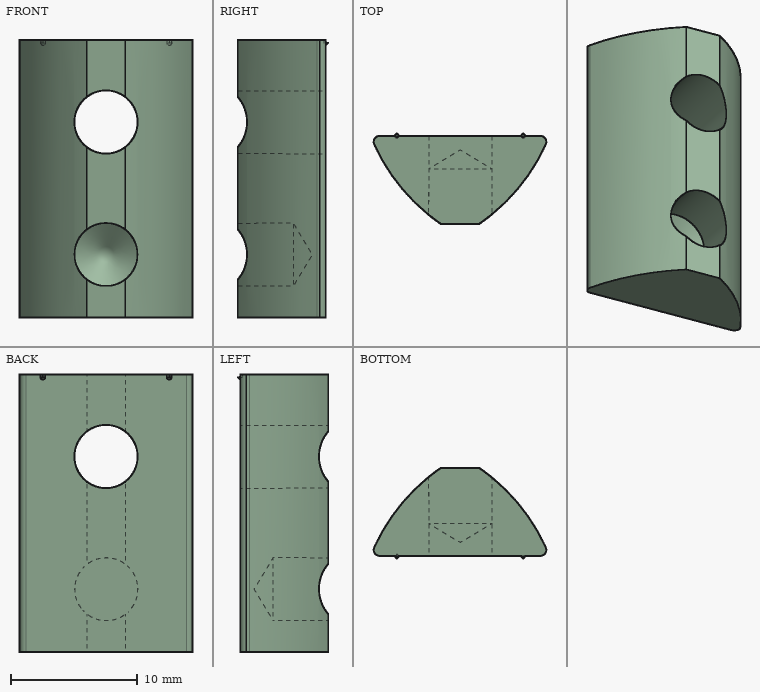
import cadquery as cq
import math

length = 22.0
width = 13.7
depth = 7.0
front_flat_width = 3.01
corner_radius = 0.5
flank_start_depth = 0.73
flank_start_inset = 0.07
flank_mid_x = 4.93
flank_mid_depth = 3.78

hole_diameter = 5.0
through_hole_z = 4.49
blind_hole_z = -6.0
blind_hole_depth = 4.4
drill_tip_angle = 118.0

tooth_spacing = 10.0
tooth_height = 0.2
tooth_radius = 0.2
tooth_end_distance = 0.22
notch_depth = 0.18

back_y = (depth - tooth_height) / 2
front_y = back_y - depth
half_length = length / 2


def make_body():
    """Flat-backed section with rounded corners and bulging flanks."""
    half_width = width / 2
    half_flat = front_flat_width / 2
    corner_x = half_width - corner_radius
    corner_y = back_y - corner_radius
    diagonal = corner_radius * math.sqrt(0.5)
    flank_x = half_width - flank_start_inset
    flank_y = back_y - flank_start_depth
    flank_mid_y = back_y - flank_mid_depth
    return (
        cq.Workplane("XY")
        .workplane(offset=-half_length)
        .moveTo(-half_flat, front_y)
        .lineTo(half_flat, front_y)
        .threePointArc((flank_mid_x, flank_mid_y), (flank_x, flank_y))
        .lineTo(half_width, corner_y)
        .threePointArc((corner_x + diagonal, corner_y + diagonal), (corner_x, back_y))
        .lineTo(-corner_x, back_y)
        .threePointArc((-corner_x - diagonal, corner_y + diagonal), (-half_width, corner_y))
        .lineTo(-flank_x, flank_y)
        .threePointArc((-flank_mid_x, flank_mid_y), (-half_flat, front_y))
        .close()
        .extrude(length)
    )


def make_through_hole():
    """Cylinder running from the back face through the front flat."""
    return (
        cq.Workplane("XZ", origin=(0, back_y, through_hole_z))
        .circle(hole_diameter / 2)
        .extrude(depth)
    )


def make_blind_hole():
    """Cylinder from the front flat ending in a drill point."""
    radius = hole_diameter / 2
    tip_length = radius / math.tan(math.radians(drill_tip_angle / 2))
    return (
        cq.Workplane("XY", origin=(0, front_y, blind_hole_z))
        .lineTo(radius, 0)
        .lineTo(radius, blind_hole_depth)
        .lineTo(0, blind_hole_depth + tip_length)
        .close()
        .revolve(360, (0, 0, 0), (0, 1, 0))
    )


def add_tooth(body, x):
    """Half-cone tooth whose flat top is the floor of a V notch in the end face."""
    tooth_z = half_length - tooth_end_distance
    cone = cq.Solid.makeCone(
        tooth_radius, 0, tooth_height, cq.Vector(x, back_y, tooth_z), cq.Vector(0, 1, 0)
    )
    notch_height = notch_depth + tooth_height
    notch = (
        cq.Workplane("XY", origin=(x, back_y - notch_depth, tooth_z))
        .lineTo(notch_height, notch_height)
        .lineTo(-notch_height, notch_height)
        .close()
        .extrude(tooth_end_distance)
    )
    return body.union(cq.Workplane(cone)).cut(notch)


result = make_body().cut(make_through_hole()).cut(make_blind_hole())
for side in (-1, 1):
    result = add_tooth(result, side * tooth_spacing / 2)